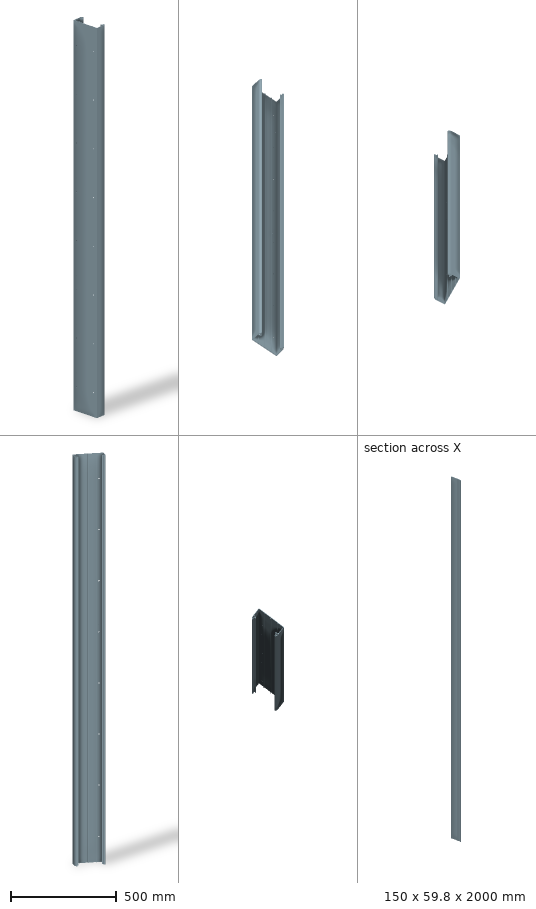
import cadquery as cq

length = 2000.0
width = 150.0
half_width = width / 2

sheet = 2.5

shoulder_y = 45.0
crown_rise = 14.8
crown_y = shoulder_y + crown_rise
crown_start_inset = 5.0
crown_end_inset = 10.0
hook_inset = 18.0
hook_top_y = 48.0
hook_bottom_y = 45.0
root_inset = 5.0
root_y = 40.0

ridge_spacing = 40.0
ridge_width = 2.0
ridge_height = 5.0

hole_diameter = 5.0
hole_spacing_x = 108.0
hole_pitch = 250.0
hole_columns = 2
hole_rows = 8


def lip_outline():
    """Closed outline of the left lip, from the foot on the wall round the crown to the hook."""
    left = -half_width
    crown_start = (left + crown_start_inset, crown_y)
    return (
        cq.Workplane("XY")
        .moveTo(left, root_y)
        .lineTo(left, shoulder_y)
        .tangentArcPoint(crown_start, relative=False)
        .lineTo(left + crown_end_inset, crown_y)
        .lineTo(left + crown_end_inset, hook_top_y)
        .lineTo(left + hook_inset, hook_top_y)
        .lineTo(left + hook_inset, hook_bottom_y)
        .lineTo(left + root_inset, root_y)
        .close()
    )


def side_wall():
    """Left wall carrying its hollow lip."""
    wall = cq.Workplane("XY").box(sheet, shoulder_y, length, centered=False).translate((-half_width, 0, 0))
    lip = lip_outline().extrude(length)
    chamber = lip_outline().offset2D(-sheet).extrude(length)
    return wall.union(lip).cut(chamber)


def base_strip(x, strip_width, height):
    """Full-length strip centred on x and standing on the outer base face."""
    strip = cq.Workplane("XY").box(strip_width, height, length, centered=(True, False, False))
    return strip.translate((x, 0, 0))


left_wall = side_wall()
channel = base_strip(0, width, sheet).union(left_wall).union(left_wall.mirror("YZ"))
for ridge_x in (-ridge_spacing, 0, ridge_spacing):
    channel = channel.union(base_strip(ridge_x, ridge_width, sheet + ridge_height))

holes = (
    cq.Workplane("XZ", origin=(0, 0, length / 2))
    .rarray(hole_spacing_x, hole_pitch, hole_columns, hole_rows)
    .circle(hole_diameter / 2)
    .extrude(-sheet)
)
result = channel.cut(holes)